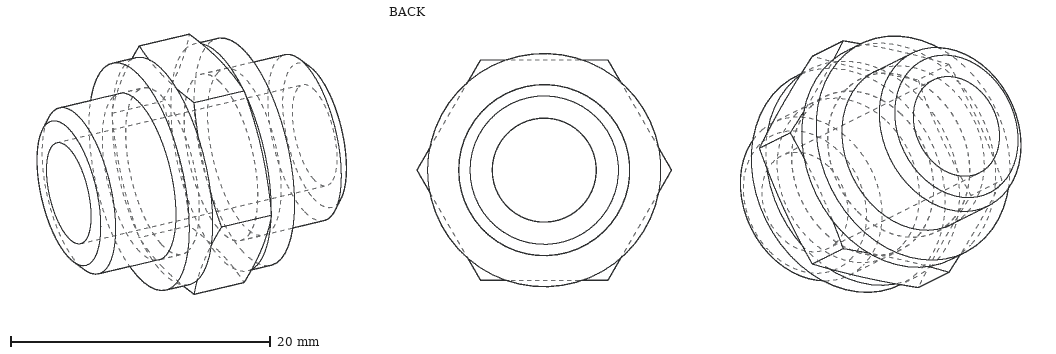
import cadquery as cq
import math

total_length = 21.0
bore_diameter = 8.0
stub_diameter = 13.17
stub_chamfer = 0.86

hex_across_flats = 17.0
hex_across_corners = hex_across_flats / math.cos(math.radians(30))
hex_width = 5.0
hex_chamfer_face_diameter = 17.0
hex_chamfer_depth = 0.35

washer_outer_diameter = 18.0
washer_bore_diameter = 13.2
washer_thickness = 2.0


def y_workplane(y):
    """Plane at the given Y, with its normal along +Y and local x along +X."""
    return cq.Workplane(cq.Plane(origin=(0, y, 0), xDir=(1, 0, 0), normal=(0, 1, 0)))


def make_chamfered_hexagon():
    """Hexagon whose corners are turned down conically at both faces."""
    hexagon = y_workplane(-hex_width / 2).polygon(6, hex_across_corners).extrude(hex_width)
    face_radius = hex_chamfer_face_diameter / 2
    corner_radius = hex_across_corners / 2
    half_width = hex_width / 2
    shoulder = half_width - hex_chamfer_depth
    turned_envelope = (
        cq.Workplane("XY")
        .polyline([
            (0, -half_width),
            (face_radius, -half_width),
            (corner_radius, -shoulder),
            (corner_radius, shoulder),
            (face_radius, half_width),
            (0, half_width),
        ])
        .close()
        .revolve(360, (0, 0, 0), (0, 1, 0))
    )
    return hexagon.intersect(turned_envelope)


def make_nipple():
    """Hexagon with a chamfered stub on each side and a through bore."""
    start = y_workplane(-total_length / 2)
    stubs = start.circle(stub_diameter / 2).extrude(total_length)
    stubs = stubs.faces("<Y or >Y").chamfer(stub_chamfer)
    bore = start.circle(bore_diameter / 2).extrude(total_length)
    return stubs.union(make_chamfered_hexagon()).cut(bore)


def make_washer(start_y):
    """Flat ring reaching from start_y towards +Y."""
    return (
        y_workplane(start_y)
        .circle(washer_outer_diameter / 2)
        .circle(washer_bore_diameter / 2)
        .extrude(washer_thickness)
    )


nipple = make_nipple()
washer_starts = [-hex_width / 2 - washer_thickness, hex_width / 2]
washers = [make_washer(start_y) for start_y in washer_starts]

result = cq.Compound.makeCompound([nipple.val(), *[washer.val() for washer in washers]])